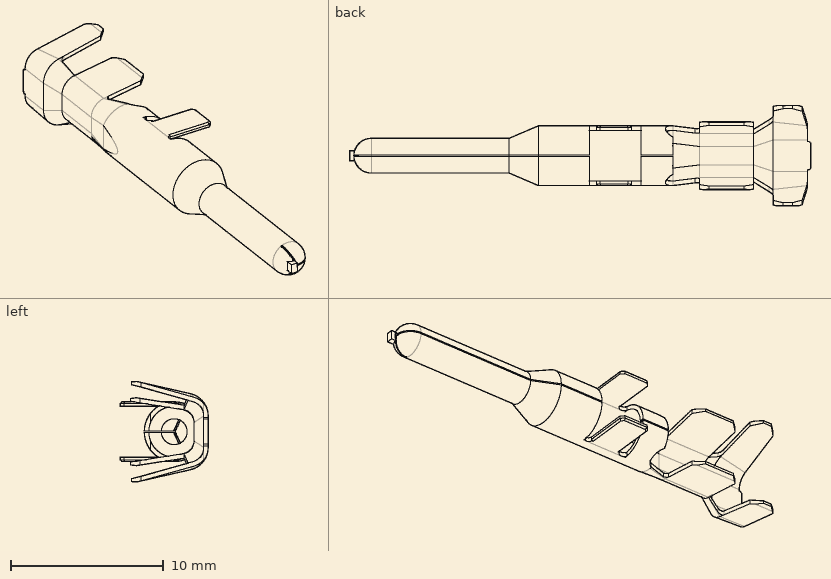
import cadquery as cq
import math

length = 30.23
sheet = 0.3
gap = 0.1
through = 9.07

ear_start = 0.2
ear_end = 2.48
wing_start = 3.75
wing_end = 7.32
mouth = 9.05
barrel_start = 11.12
tab_start = 11.75
tab_end = 14.05
window_end = 14.5
cone_start = 17.87
cone_end = 19.77
dome_start = 28.8

floor_bottom = -2.25
wing_floor = -1.6
mouth_floor = -1.75
mouth_edge = 0.15
ear_top = 2.8
wing_top = 2.87
tab_top = 3.55

barrel_radius = 1.95
pin_radius = 1.15

bevel_length = 0.4
bevel_depth = 0.12


def polar(center, radius, angle):
    """Point (y, z) on a bend; the angle runs from straight down (-Y) towards +Z."""
    return (center[0] - radius * math.cos(angle), center[1] + radius * math.sin(angle))


def channel_section(x, floor, center, radius, tilt, top):
    """Closed C-shaped wire: flat floor, two round bends and two walls leaning out by tilt degrees."""
    lean = math.radians(tilt)
    bend_end = math.pi / 2 - lean
    inner_radius = radius - sheet
    outer_begin = math.acos(min(1, (center[0] - floor) / radius))
    inner_begin = math.acos(min(1, (center[0] - floor - sheet) / inner_radius))

    outer_foot = polar(center, radius, outer_begin)
    outer_middle = polar(center, radius, (outer_begin + bend_end) / 2)
    outer_wall = polar(center, radius, bend_end)
    inner_foot = polar(center, inner_radius, inner_begin)
    inner_middle = polar(center, inner_radius, (inner_begin + bend_end) / 2)
    inner_wall = polar(center, inner_radius, bend_end)
    wall_length = (top - outer_wall[0]) / math.cos(lean)

    def on_wall(along, depth):
        """Point on the wall, measured along it from the bend and inwards from its outer face."""
        y = outer_wall[0] + along * math.cos(lean) + depth * math.sin(lean)
        z = outer_wall[1] + along * math.sin(lean) - depth * math.cos(lean)
        return (y, z)

    bevel_foot = on_wall(wall_length - bevel_length, 0)
    outer_tip = on_wall(wall_length, bevel_depth)
    inner_tip = on_wall(wall_length, sheet)

    def mirrored(point):
        return (point[0], -point[1])

    return (
        cq.Workplane("YZ", origin=(x, 0, 0))
        .moveTo(*mirrored(outer_foot))
        .lineTo(*outer_foot)
        .threePointArc(outer_middle, outer_wall)
        .lineTo(*bevel_foot)
        .lineTo(*outer_tip)
        .lineTo(*inner_tip)
        .lineTo(*inner_wall)
        .threePointArc(inner_middle, inner_foot)
        .lineTo(*mirrored(inner_foot))
        .threePointArc(mirrored(inner_middle), mirrored(inner_wall))
        .lineTo(*mirrored(inner_tip))
        .lineTo(*mirrored(outer_tip))
        .lineTo(*mirrored(bevel_foot))
        .lineTo(*mirrored(outer_wall))
        .threePointArc(mirrored(outer_middle), mirrored(outer_foot))
        .close()
        .val()
    )


def bent_section(x, floor, floor_half_width, bend_radius, tilt, top):
    """Channel section whose bends are tangent to the floor."""
    center = (floor + bend_radius, floor_half_width)
    return channel_section(x, floor, center, bend_radius, tilt, top)


def channel():
    """Ears, wings and the necks beside them: a tall lofted channel trimmed to its side outline."""
    ear_half_floor = 1.03
    ear_front_bend = 1.27
    ear_front_tilt = 15.6
    ear_back_bend = 1.5
    ear_back_tilt = 12.8
    wing_half_floor = 0.6
    wing_bend = 1.15
    wing_tilt = 9.0
    sections = [
        bent_section(ear_start, floor_bottom, ear_half_floor, ear_front_bend, ear_front_tilt, ear_top),
        bent_section(ear_end, floor_bottom, ear_half_floor, ear_back_bend, ear_back_tilt, ear_top),
        bent_section(wing_start, wing_floor, wing_half_floor, wing_bend, wing_tilt, wing_top),
        bent_section(wing_end, wing_floor, wing_half_floor, wing_bend, wing_tilt, wing_top),
        channel_section(mouth, mouth_floor, (0, 0), barrel_radius, 0, wing_top),
    ]
    tall = cq.Workplane(cq.Solid.makeLoft(sections, True))

    corner = 0.63
    ear_lean = 0.35
    ear_left = ear_start + ear_lean
    root_width = 0.27
    root_bulge = 0.075
    neck_low = -0.9
    neck_high = -0.63
    throat_low = -0.45
    throat_high = -0.27
    outline = (
        cq.Workplane("XY")
        .moveTo(ear_start, floor_bottom)
        .lineTo(ear_start, floor_bottom + sheet)
        .lineTo(ear_left, ear_top - corner)
        .lineTo(ear_left + corner, ear_top)
        .lineTo(ear_end - corner, ear_top)
        .lineTo(ear_end, ear_top - corner)
        .lineTo(ear_end, neck_high)
        .threePointArc((ear_end + root_bulge, neck_low + root_bulge), (ear_end + root_width, neck_low))
        .lineTo(wing_start, neck_high)
        .lineTo(wing_start, wing_top - corner)
        .lineTo(wing_start + corner, wing_top)
        .lineTo(wing_end - corner, wing_top)
        .lineTo(wing_end, wing_top - corner)
        .lineTo(wing_end, throat_high)
        .threePointArc((wing_end + root_bulge, throat_low + root_bulge), (wing_end + root_width, throat_low))
        .lineTo(mouth, mouth_edge)
        .lineTo(mouth, floor_bottom)
        .close()
        .extrude(through / 2, both=True)
    )
    return tall.intersect(outline)


def tongue():
    """Short cut-off tongue in front of the ear section floor."""
    half_width = 0.95
    corner = 0.12
    return (
        cq.Workplane("XZ", origin=(0, floor_bottom, 0))
        .moveTo(ear_end / 2, -half_width)
        .lineTo(corner, -half_width)
        .lineTo(0, -half_width + corner)
        .lineTo(0, half_width - corner)
        .lineTo(corner, half_width)
        .lineTo(ear_end / 2, half_width)
        .close()
        .extrude(-sheet)
    )


def flattened_rod(radius, floor_start, floor_end):
    """Rod over the mouth length with a sloping flat along its underside."""
    rod = cq.Workplane("YZ", origin=(mouth, 0, 0)).circle(radius).extrude(barrel_start - mouth)
    above_flat = (
        cq.Workplane("XY")
        .moveTo(mouth, floor_start)
        .lineTo(barrel_start, floor_end)
        .lineTo(barrel_start, through)
        .lineTo(mouth, through)
        .close()
        .extrude(through / 2, both=True)
    )
    return rod.intersect(above_flat)


def mouth_tube():
    """Barrel mouth: a tube whose floor flat fades out, with a rounded notch in its sides."""
    outer = flattened_rod(barrel_radius, mouth_floor, -barrel_radius)
    inner = flattened_rod(barrel_radius - sheet, mouth_floor + sheet, sheet - barrel_radius)
    notch_top = 1.55
    notch_depth = 0.48
    notch = (
        cq.Workplane("XY")
        .moveTo(mouth, mouth_edge)
        .threePointArc((mouth + notch_depth, (mouth_edge + notch_top) / 2), (mouth, notch_top))
        .close()
        .extrude(through / 2, both=True)
    )
    return outer.cut(inner).cut(notch)


def barrel_and_pin():
    """Hollow barrel, cone and pin closed by a round dome."""
    inner_barrel = barrel_radius - sheet
    inner_pin = pin_radius - sheet
    half_root = math.sqrt(0.5)
    return (
        cq.Workplane("XY")
        .moveTo(barrel_start, inner_barrel)
        .lineTo(barrel_start, barrel_radius)
        .lineTo(cone_start, barrel_radius)
        .lineTo(cone_end, pin_radius)
        .lineTo(dome_start, pin_radius)
        .threePointArc(
            (dome_start + pin_radius * half_root, pin_radius * half_root),
            (dome_start + pin_radius, 0),
        )
        .lineTo(dome_start + inner_pin, 0)
        .threePointArc(
            (dome_start + inner_pin * half_root, inner_pin * half_root),
            (dome_start, inner_pin),
        )
        .lineTo(cone_end, inner_pin)
        .lineTo(cone_start, inner_barrel)
        .close()
        .revolve(360, (0, 0, 0), (1, 0, 0))
    )


def dome_slits():
    """Cutting bodies for the two lower gaps between the folded petals of the dome."""
    slit_angle = 115
    slit = (
        cq.Workplane("XY")
        .box(pin_radius, pin_radius + sheet, gap, centered=(False, False, True))
        .translate((dome_start, 0, 0))
    )
    axis_end = (1, 0, 0)
    return slit.rotate((0, 0, 0), axis_end, slit_angle).union(slit.rotate((0, 0, 0), axis_end, -slit_angle))


def tip_nub():
    """Small cut-off nub at the end of the dome."""
    nub_start = 29.65
    height = 0.45
    width = 0.65
    center_y = -0.4
    return (
        cq.Workplane("XY")
        .box(length - nub_start, height, width, centered=(False, True, True))
        .translate((nub_start, center_y, 0))
    )


def tab_window():
    """Cutting body that opens the upper half of the barrel around the two tabs."""
    return (
        cq.Workplane("XY")
        .box(window_end - barrel_start, barrel_radius + sheet, through, centered=(False, False, True))
        .translate((barrel_start, 0, 0))
    )


def tabs():
    """Two flat tabs standing up tangent to the barrel, with rounded feet beside them."""
    corner = 0.25
    edge_bevel = 0.12
    tab = (
        cq.Workplane("XY", origin=(0, 0, barrel_radius - sheet))
        .moveTo(tab_start, 0)
        .lineTo(tab_start, tab_top - corner)
        .lineTo(tab_start + corner, tab_top)
        .lineTo(tab_end - corner, tab_top)
        .lineTo(tab_end, tab_top - corner)
        .lineTo(tab_end, 0)
        .close()
        .extrude(sheet)
        .faces(">Z")
        .edges("not <Y")
        .chamfer(edge_bevel)
    )
    foot = 0.25
    web = (
        cq.Workplane("XY", origin=(0, 0, barrel_radius - sheet))
        .rect(window_end - barrel_start, foot)
        .extrude(sheet)
        .translate(((window_end + barrel_start) / 2, foot / 2, 0))
    )
    for slot_start, slot_end in ((barrel_start, tab_start), (tab_end, window_end)):
        radius = (slot_end - slot_start) / 2
        slot = (
            cq.Workplane("XY")
            .center((slot_start + slot_end) / 2, radius)
            .circle(radius)
            .extrude(through)
        )
        web = web.cut(slot)
    upper = tab.union(web)
    return upper.union(upper.mirror("XY"))


def seam():
    """Narrow gap where the rolled sheet meets on the +Y side."""
    return (
        cq.Workplane("XY")
        .box(length - mouth, barrel_radius + sheet, gap, centered=(False, False, True))
        .translate((mouth, 0, 0))
    )


shell = barrel_and_pin().cut(dome_slits()).union(mouth_tube()).cut(seam()).cut(tab_window())
result = shell.union(tabs()).union(tip_nub()).union(channel()).union(tongue())